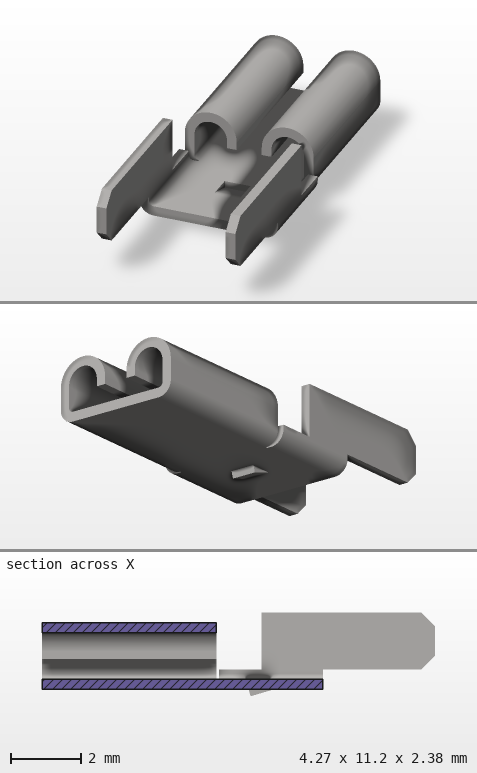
import cadquery as cq
import math


sheet = 0.30
bend_outer = 0.44
bend_inner = bend_outer - sheet

channel_width = 4.27
channel_end = 2.97
channel_wall_top = 0.57
tab_start = 1.76
tab_tip = -3.18
tab_top = 2.19
tab_chamfer = 0.39

receptacle_width = 3.97
receptacle_start = 3.03
receptacle_end = 8.00
curl_outer = 0.80
curl_inner = curl_outer - sheet
curl_center_z = 1.11
curl_lip_z = 0.87

lance_width = 0.79
lance_hinge = 1.37
lance_window_end = 2.16
lance_angle = math.radians(16.5)
lance_bend_inner = 0.27
lance_bend_outer = lance_bend_inner + sheet
lance_clearance = 0.01


def with_mirror(half):
    """Join a half with its mirror image across X = 0."""
    return half.union(half.mirror("YZ"))


def along_y(start):
    """XZ sketch plane at Y = start; extrusions run toward +Y."""
    return cq.Workplane(cq.Plane(origin=(0, start, 0), xDir=(1, 0, 0), normal=(0, -1, 0)))


def arc_point(center, radius, angle):
    """Point on a circle at an angle in degrees."""
    a = math.radians(angle)
    return (center[0] + radius * math.cos(a), center[1] + radius * math.sin(a))


def make_channel():
    """Flat floor with a bent-up wall on each side."""
    outer_x = channel_width / 2
    inner_x = outer_x - sheet
    bend_center = (outer_x - bend_outer, bend_outer)
    half = (
        along_y(0)
        .moveTo(0, 0)
        .lineTo(bend_center[0], 0)
        .threePointArc(arc_point(bend_center, bend_outer, -45), (outer_x, bend_outer))
        .lineTo(outer_x, channel_wall_top)
        .lineTo(inner_x, channel_wall_top)
        .lineTo(inner_x, bend_outer)
        .threePointArc(arc_point(bend_center, bend_inner, -45), (bend_center[0], sheet))
        .lineTo(0, sheet)
        .close()
        .extrude(-channel_end)
    )
    return with_mirror(half)


def make_receptacle():
    """Floor whose side walls curl inward over it, ending in short straight lips."""
    outer_x = receptacle_width / 2
    inner_x = outer_x - sheet
    bend_center = (outer_x - bend_outer, bend_outer)
    curl_center = (outer_x - curl_outer, curl_center_z)
    lip_inner_x = curl_center[0] - curl_outer
    lip_outer_x = curl_center[0] - curl_inner
    half = (
        along_y(receptacle_start)
        .moveTo(0, 0)
        .lineTo(bend_center[0], 0)
        .threePointArc(arc_point(bend_center, bend_outer, -45), (outer_x, bend_outer))
        .lineTo(outer_x, curl_center_z)
        .threePointArc(arc_point(curl_center, curl_outer, 90), (lip_inner_x, curl_center_z))
        .lineTo(lip_inner_x, curl_lip_z)
        .lineTo(lip_outer_x, curl_lip_z)
        .lineTo(lip_outer_x, curl_center_z)
        .threePointArc(arc_point(curl_center, curl_inner, 90), (inner_x, curl_center_z))
        .lineTo(inner_x, bend_outer)
        .threePointArc(arc_point(bend_center, bend_inner, -45), (bend_center[0], sheet))
        .lineTo(0, sheet)
        .close()
        .extrude(receptacle_start - receptacle_end)
    )
    return with_mirror(half)


def make_bridge():
    """Flat strip joining the channel floor to the receptacle floor."""
    width = receptacle_width - 2 * bend_outer
    length = receptacle_start - channel_end
    return (
        cq.Workplane("XY")
        .box(width, length, sheet, centered=(True, False, False))
        .translate((0, channel_end, 0))
    )


def make_tabs():
    """Blade on top of each channel wall, with both tip corners chamfered."""
    length = tab_start - tab_tip
    height = tab_top - channel_wall_top
    tab = (
        cq.Workplane("XY")
        .box(sheet, length, height, centered=False)
        .faces("<Y")
        .edges("|X")
        .chamfer(tab_chamfer)
        .translate((channel_width / 2 - sheet, tab_tip, channel_wall_top))
    )
    return with_mirror(tab)


def make_window():
    """Opening left in the floor by the lance."""
    length = lance_window_end - lance_hinge
    return (
        cq.Workplane("XY")
        .box(lance_width, length, sheet, centered=(True, False, False))
        .translate((0, lance_hinge, 0))
    )


def make_lance():
    """Tongue curving down from its hinge, then straight, with a square-cut end."""
    bend_center = (lance_hinge, -lance_bend_inner)
    direction = (math.cos(lance_angle), -math.sin(lance_angle))
    full_angle = 90 - math.degrees(lance_angle)
    middle_angle = 90 - math.degrees(lance_angle) / 2
    top_start = arc_point(bend_center, lance_bend_outer, full_angle)
    bottom_start = arc_point(bend_center, lance_bend_inner, full_angle)
    straight = (lance_window_end - lance_clearance - top_start[0]) / direction[0]
    top_end = (top_start[0] + straight * direction[0], top_start[1] + straight * direction[1])
    bottom_end = (bottom_start[0] + straight * direction[0], bottom_start[1] + straight * direction[1])
    return (
        cq.Workplane("YZ")
        .moveTo(lance_hinge, sheet)
        .threePointArc(arc_point(bend_center, lance_bend_outer, middle_angle), top_start)
        .lineTo(*top_end)
        .lineTo(*bottom_end)
        .lineTo(*bottom_start)
        .threePointArc(arc_point(bend_center, lance_bend_inner, middle_angle), (lance_hinge, 0))
        .close()
        .extrude(lance_width / 2, both=True)
    )


result = (
    make_channel()
    .union(make_bridge())
    .union(make_receptacle())
    .union(make_tabs())
    .cut(make_window())
    .union(make_lance())
)